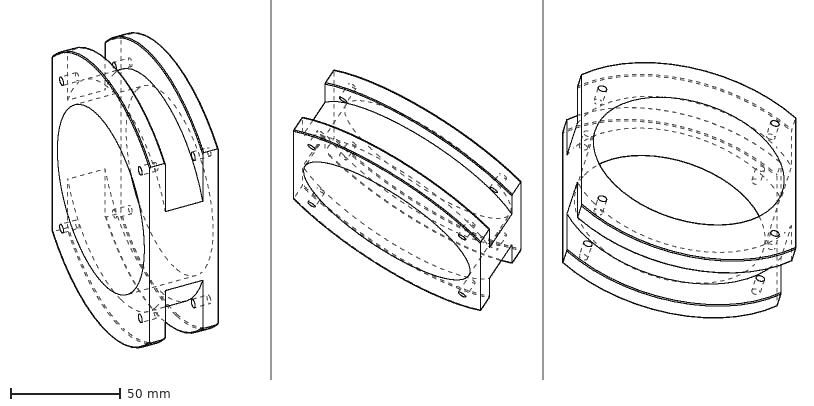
import cadquery as cq
import math

total_width = 35.0
flange_thickness = 8.0
flange_radius = 70.0
hub_radius = 55.0
bore_radius = 45.0
width_across_flats = 101.0
rim_chamfer = 0.5
hole_diameter = 4.0
hole_circle_radius = 57.5

flange_offset = (total_width - flange_thickness) / 2
hole_offset = hole_circle_radius * math.cos(math.radians(45))


def disc(radius, thickness, center_y):
    """Solid disc on the Y axis, centred at center_y."""
    plane = cq.Workplane("XZ", origin=(0, center_y, 0))
    return plane.circle(radius).extrude(thickness / 2, both=True)


def flange(center_y):
    """Flange disc with both rim edges chamfered."""
    return disc(flange_radius, flange_thickness, center_y).edges().chamfer(rim_chamfer)


def spool():
    """Hub with a flange at each end."""
    hub = disc(hub_radius, total_width, 0)
    return hub.union(flange(-flange_offset)).union(flange(flange_offset))


def cut_side_flats(body):
    """Trim the spool to two flat sides facing -X and +X."""
    envelope = cq.Workplane("XY").box(width_across_flats, total_width, 2 * flange_radius)
    return body.intersect(envelope)


def cut_bore(body):
    """Open the central bore through the hub."""
    return body.cut(disc(bore_radius, total_width, 0))


def cut_flange_holes(body):
    """Drill the four corner holes through both flanges."""
    drills = (
        cq.Workplane("XZ")
        .rect(2 * hole_offset, 2 * hole_offset, forConstruction=True)
        .vertices()
        .circle(hole_diameter / 2)
        .extrude(total_width / 2, both=True)
    )
    return body.cut(drills)


result = cut_flange_holes(cut_bore(cut_side_flats(spool())))